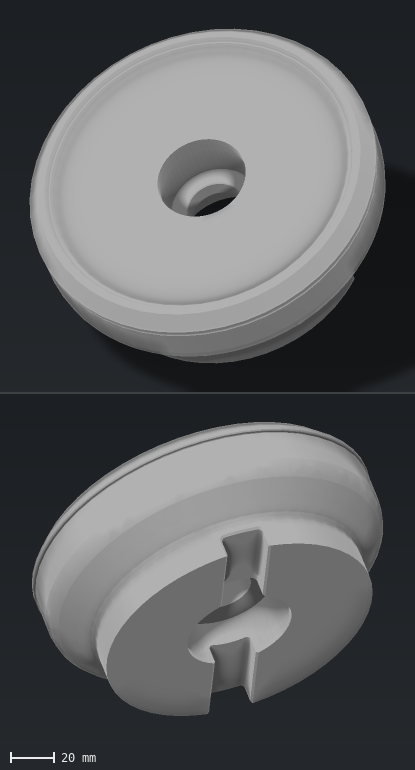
import cadquery as cq
import math

TILT_X = 20.0
TILT_Y = -3.0
SLOT_ANGLE = 17.6

RING_R = 82.5
RIM_OUTER_R = 76.5
RIM_INNER_R = 73.8
RIM_BEVEL = 0.3
RING_CHAMFER_H = 6.5
RING_EDGE_BREAK = 0.5
RING_BOTTOM_Z = -9.3
SEAT_R = 72.3
SEAT_TOP_Z = -1.5

HUB_R = 164.3 / 2
HUB_CHAMFER = 1.0
LAND_R = 81.0
LAND_HEIGHT = 0.5
NECK_R = 130.0 / 2
CONE_TOP_Z = -30.5
CONE_BOTTOM_Z = -45.7
SHOULDER_FILLET = 10.6
NECK_FILLET = 4.0
BOTTOM_Z = -62.4
BOTTOM_CHAMFER = 1.0

FACE_R = 66.7
FACE_Z = -4.5
DISH_R = 70.2
DISH_Z = -3.0
DISH_RIM_R = 71.5

DISH_RUN = DISH_R - FACE_R
DISH_RISE = DISH_Z - FACE_Z
DISH_RADIUS = (DISH_RUN**2 + DISH_RISE**2) / (2 * DISH_RISE)
DISH_HALF_ANGLE = math.asin(DISH_RUN / DISH_RADIUS) / 2
DISH_MIDDLE = (
    FACE_R + DISH_RADIUS * math.sin(DISH_HALF_ANGLE),
    FACE_Z + DISH_RADIUS * (1 - math.cos(DISH_HALF_ANGLE)),
)

BOLT_HEAD_R = 42.0 / 2
BOLT_HEAD_DEPTH = 26.6
BOLT_R = 27.0 / 2
SPIGOT_R = 50.8 / 2
SPIGOT_DEPTH = 23.2
BORE_CHAMFER = 0.5

SLOT_WIDTH = 20.0
SLOT_DEPTH = 10.6
SLOT_FILLET = 2.2


def placed(body):
    """Tilt a body from the Z axis to its final attitude."""
    tilted = body.rotate((0, 0, 0), (1, 0, 0), TILT_X)
    return tilted.rotate((0, 0, 0), (0, 1, 0), TILT_Y)


def make_ring():
    """Outer rim with a bevelled top edge and a cylindrical seat."""
    outline = (
        cq.Workplane("XZ")
        .moveTo(SEAT_R, SEAT_TOP_Z)
        .lineTo(RIM_INNER_R, 0)
        .lineTo(RIM_OUTER_R - RIM_BEVEL, 0)
        .lineTo(RIM_OUTER_R + RIM_BEVEL, -RIM_BEVEL)
        .lineTo(RING_R - RING_EDGE_BREAK, -RING_CHAMFER_H)
        .lineTo(RING_R, -RING_CHAMFER_H - RING_EDGE_BREAK)
        .lineTo(RING_R, RING_BOTTOM_Z + RING_EDGE_BREAK)
        .lineTo(RING_R - RING_EDGE_BREAK, RING_BOTTOM_Z)
        .lineTo(SEAT_R, RING_BOTTOM_Z)
        .close()
    )
    return outline.revolve(360, (0, 0, 0), (0, 1, 0))


def round_circle(body, height, fillet):
    """Fillet the horizontal circular edge centred on the axis at the given height."""
    edge = cq.selectors.NearestToPointSelector((0, 0, height))
    rim = body.edges("%CIRCLE").edges(edge)
    return rim.fillet(fillet)


def make_hub_blank():
    """Turned outside of the hub, with its dished face and a spigot inside the ring."""
    groove_z = RING_BOTTOM_Z - LAND_HEIGHT
    outline = (
        cq.Workplane("XZ")
        .moveTo(0, FACE_Z)
        .lineTo(FACE_R, FACE_Z)
        .threePointArc(DISH_MIDDLE, (DISH_R, DISH_Z))
        .lineTo(DISH_RIM_R, SEAT_TOP_Z)
        .lineTo(SEAT_R, SEAT_TOP_Z)
        .lineTo(SEAT_R, RING_BOTTOM_Z)
        .lineTo(LAND_R, RING_BOTTOM_Z)
        .lineTo(LAND_R, groove_z)
        .lineTo(HUB_R - HUB_CHAMFER, groove_z)
        .lineTo(HUB_R, groove_z - HUB_CHAMFER)
        .lineTo(HUB_R, CONE_TOP_Z)
        .lineTo(NECK_R, CONE_BOTTOM_Z)
        .lineTo(NECK_R, BOTTOM_Z)
        .lineTo(0, BOTTOM_Z)
        .close()
    )
    hub = outline.revolve(360, (0, 0, 0), (0, 1, 0))
    hub = round_circle(hub, CONE_TOP_Z, SHOULDER_FILLET)
    return round_circle(hub, CONE_BOTTOM_Z, NECK_FILLET)


def make_bores():
    """Stepped central bore: bolt-head recess, bolt hole and spigot bore."""
    floor_z = FACE_Z - BOLT_HEAD_DEPTH
    spigot_z = BOTTOM_Z + SPIGOT_DEPTH
    outline = (
        cq.Workplane("XZ")
        .moveTo(0, FACE_Z)
        .lineTo(BOLT_HEAD_R, FACE_Z)
        .lineTo(BOLT_HEAD_R, floor_z + BORE_CHAMFER)
        .lineTo(BOLT_HEAD_R - BORE_CHAMFER, floor_z)
        .lineTo(BOLT_R + BORE_CHAMFER, floor_z)
        .lineTo(BOLT_R, floor_z - BORE_CHAMFER)
        .lineTo(BOLT_R, spigot_z)
        .lineTo(SPIGOT_R, spigot_z)
        .lineTo(SPIGOT_R, BOTTOM_Z)
        .lineTo(0, BOTTOM_Z)
        .close()
    )
    return outline.revolve(360, (0, 0, 0), (0, 1, 0))


def make_slot():
    """Drive slot through both sides of the neck, with rounded top corners."""
    slot = (
        cq.Workplane("XY")
        .workplane(offset=BOTTOM_Z)
        .rect(2 * RING_R, SLOT_WIDTH)
        .extrude(SLOT_DEPTH)
        .edges("|X and >Z")
        .fillet(SLOT_FILLET)
    )
    return slot.rotate((0, 0, 0), (0, 0, 1), SLOT_ANGLE)


def break_bottom_edges(body):
    """Chamfer the bottom face outside and along the slot, and the outer mouths of the slot."""
    bore_edges = cq.selectors.BoxSelector(
        (-SPIGOT_R, -SPIGOT_R, BOTTOM_Z - BOTTOM_CHAMFER),
        (SPIGOT_R, SPIGOT_R, BOTTOM_Z + BOTTOM_CHAMFER),
    )
    bottom_edges = cq.selectors.StringSyntaxSelector("#Z") - bore_edges
    slot_edges = body.edges("|Z").filter(lambda edge: edge.Center().z < BOTTOM_Z + SLOT_DEPTH)
    mouth_edges = slot_edges.filter(
        lambda edge: math.hypot(edge.Center().x, edge.Center().y) > (SPIGOT_R + NECK_R) / 2
    )
    return body.faces("<Z").edges(bottom_edges).add(mouth_edges).chamfer(BOTTOM_CHAMFER)


ring = placed(make_ring())
hub_turned = make_hub_blank().cut(make_bores())
hub = placed(break_bottom_edges(hub_turned.cut(make_slot())))

result = cq.Compound.makeCompound([hub.val(), ring.val()])